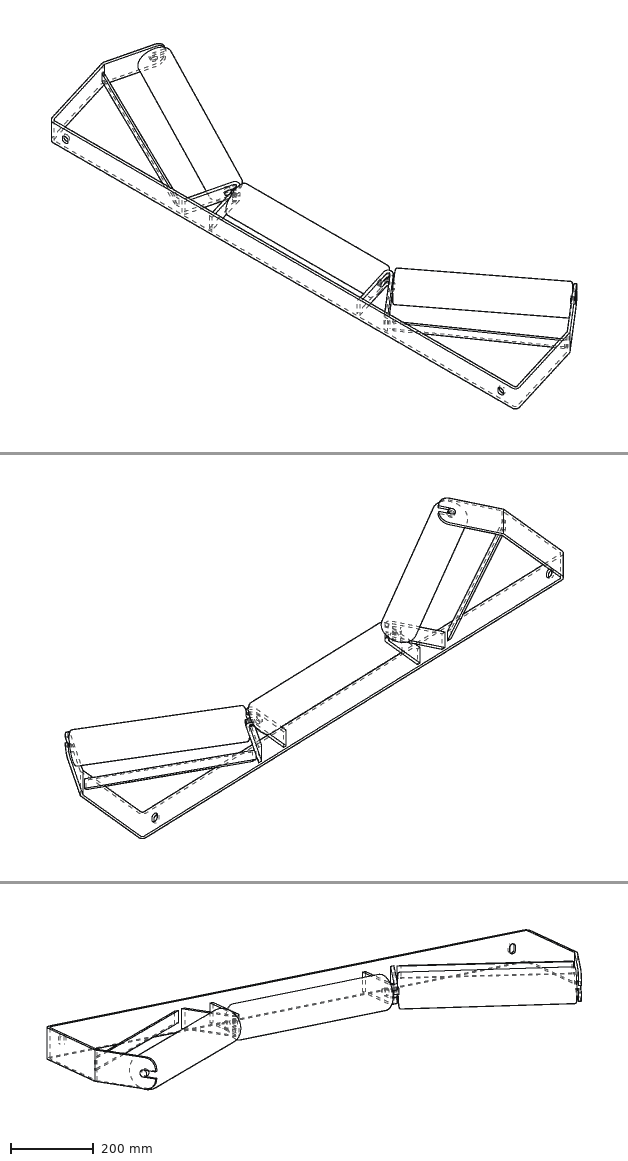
import cadquery as cq
import math

frame_length = 1400.0
bar_height = 80.0
bar_thickness = 7.0
upright_height = 220.0
arm_length = 164.0
corner_radius = 13.0
arm_tip_radius = 28.0

mount_hole_width = 17.0
mount_hole_height = 25.0
mount_hole_inset = 48.0

trough_angle = 30.0
roller_diameter = 90.0
roller_length = 430.0
roller_edge_radius = 4.0
shaft_diameter = 18.0
center_axis_y = 102.0
side_axis_x = 438.0
side_axis_y = 220.0
inner_axis_z = -7.0
outer_axis_z = -1.0

bracket_thickness = 8.0
bracket_inner_x = 217.0
bracket_leg_top = 118.0
bracket_bend_radius = 4.0
bracket_height = 50.0

brace_height = 31.0
brace_thickness = 5.0
brace_foot_x = 316.0
brace_top_y = 213.0

half_length = frame_length / 2
slope_sin = math.sin(math.radians(trough_angle))
slope_cos = math.cos(math.radians(trough_angle))
side_axis_z = (inner_axis_z + outer_axis_z) / 2
side_tilt = math.degrees(math.asin((outer_axis_z - inner_axis_z) / roller_length))
center_shaft_length = 2 * (bracket_inner_x + bracket_thickness)
side_shaft_length = 2 * (
    (half_length - side_axis_x) * slope_cos + (upright_height - side_axis_y) * slope_sin
)
slot_overrun = bracket_thickness
slot_opening_height = arm_length / 2
SIDES = (-1, 1)


def nearest(point):
    return cq.selectors.NearestToPointSelector(point)


def place_center(body):
    """Move a body from the X axis onto the axis of the center roller."""
    return body.translate((0, center_axis_y, inner_axis_z))


def place_side(body, side):
    """Move a body from the X axis onto the sloped, slightly tilted axis of a side roller."""
    body = body.rotate((0, 0, 0), (0, 1, 0), -side * side_tilt)
    body = body.rotate((0, 0, 0), (0, 0, 1), side * trough_angle)
    return body.translate((side * side_axis_x, side_axis_y, side_axis_z))


def rod(diameter, length):
    """Cylinder along X, centred on the origin."""
    return cq.Workplane("YZ").workplane(offset=-length / 2).circle(diameter / 2).extrude(length)


def shaft_slot(shaft_length):
    """Cutter for a round-bottomed slot around a shaft along X, open towards +Y."""
    length = shaft_length + 2 * slot_overrun
    opening = cq.Workplane("XY").box(
        length, slot_opening_height, shaft_diameter, centered=(True, False, True)
    )
    return rod(shaft_diameter, length).union(opening)


def make_frame():
    """Bent bar with rounded, slotted arm tips and a mounting hole near each end."""
    arm_x = half_length - arm_length * slope_sin
    arm_y = upright_height + arm_length * slope_cos
    bend = bar_thickness * math.tan(math.radians(trough_angle / 2))
    right = [
        (half_length, 0),
        (half_length, upright_height),
        (arm_x, arm_y),
        (arm_x - bar_thickness * slope_cos, arm_y - bar_thickness * slope_sin),
        (half_length - bar_thickness, upright_height - bend),
        (half_length - bar_thickness, bar_thickness),
    ]
    left = [(-x, y) for x, y in reversed(right)]
    frame = cq.Workplane("XY").polyline(right + left).close().extrude(bar_height / 2, both=True)
    tip_x = arm_x - bar_thickness / 2 * slope_cos
    tip_y = arm_y - bar_thickness / 2 * slope_sin
    for side in SIDES:
        frame = frame.edges(nearest((side * half_length, 0, 0))).fillet(corner_radius)
        inner_corner = (side * (half_length - bar_thickness), bar_thickness, 0)
        frame = frame.edges(nearest(inner_corner)).fillet(corner_radius - bar_thickness)
        for z in (-bar_height / 2, bar_height / 2):
            frame = frame.edges(nearest((side * tip_x, tip_y, z))).fillet(arm_tip_radius)
        frame = frame.cut(place_side(shaft_slot(side_shaft_length), side))
    hole_x = half_length - mount_hole_inset
    holes = (
        cq.Workplane("XZ").pushPoints([(-hole_x, 0), (hole_x, 0)])
        .slot2D(mount_hole_height, mount_hole_width, 90).extrude(-bar_thickness)
    )
    return frame.cut(holes)


def make_bracket(side):
    """Bar folded into an upright leg and a leg parallel to the side roller's end."""
    outer_radius = bracket_bend_radius + bracket_thickness
    center_x = bracket_inner_x + outer_radius
    fall = bracket_leg_top - bar_thickness

    def bend_point(radius, angle):
        """Point on the bend, with the angle measured as for the +X bracket."""
        a = math.radians(angle)
        return (side * (center_x + radius * math.cos(a)), bracket_leg_top + radius * math.sin(a))

    def foot(radius):
        """Where the sloping face tangent to the given bend radius meets the base bar."""
        x = center_x + radius / slope_cos + fall * slope_sin / slope_cos
        return (side * x, bar_thickness)

    mid_angle = (180 + trough_angle) / 2
    body = (
        cq.Workplane("XY").moveTo(side * bracket_inner_x, bar_thickness)
        .lineTo(*bend_point(outer_radius, 180))
        .threePointArc(bend_point(outer_radius, mid_angle), bend_point(outer_radius, trough_angle))
        .lineTo(*foot(outer_radius))
        .lineTo(*foot(bracket_bend_radius))
        .lineTo(*bend_point(bracket_bend_radius, trough_angle))
        .threePointArc(bend_point(bracket_bend_radius, mid_angle), bend_point(bracket_bend_radius, 180))
        .lineTo(side * (bracket_inner_x + bracket_thickness), bar_thickness)
        .close().extrude(bracket_height / 2, both=True).translate((0, 0, inner_axis_z))
    )
    center_slot = place_center(shaft_slot(center_shaft_length))
    side_slot = place_side(shaft_slot(side_shaft_length), side)
    return body.cut(center_slot).cut(side_slot)


def make_brace(side):
    """Diagonal bar trimmed to the upright and to the base bar."""
    top_x = half_length - bar_thickness
    angle = math.atan2(brace_top_y - bar_thickness, top_x - brace_foot_x)
    outline = [
        (side * top_x, brace_top_y),
        (side * top_x, brace_top_y - brace_thickness / math.cos(angle)),
        (side * (brace_foot_x + brace_thickness / math.sin(angle)), bar_thickness),
        (side * brace_foot_x, bar_thickness),
    ]
    return cq.Workplane("XY").polyline(outline).close().extrude(brace_height / 2, both=True)


def make_roller(shaft_length):
    """Roller with rounded rims and its shaft, along X."""
    shell = rod(roller_diameter, roller_length).edges().fillet(roller_edge_radius)
    return shell.union(rod(shaft_diameter, shaft_length))


frame = make_frame()
brackets = [make_bracket(side) for side in SIDES]
braces = [make_brace(side) for side in SIDES]
rollers = [place_center(make_roller(center_shaft_length))]
rollers += [place_side(make_roller(side_shaft_length), side) for side in SIDES]

result = cq.Compound.makeCompound([body.val() for body in [frame, *brackets, *braces, *rollers]])